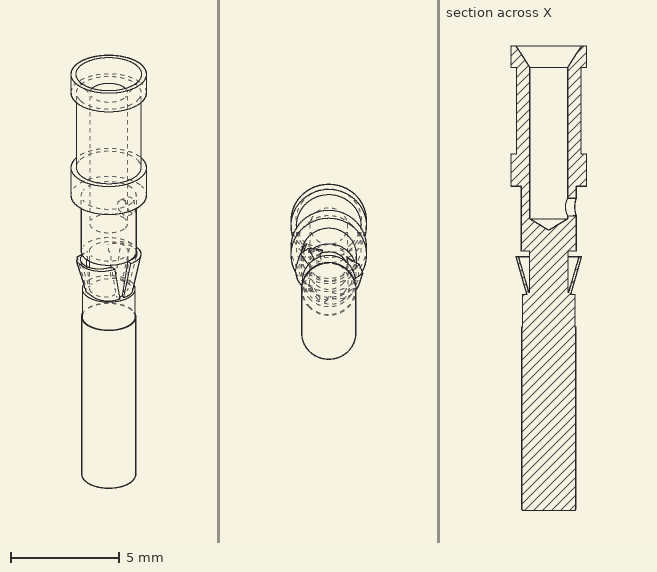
import cadquery as cq
import math

total_length = 21.5

pin_top = 8.5
collar_top = 10.0
finger_top = 11.75
neck_top = 12.0
barrel_flange_bottom = 15.0
barrel_flange_top = 16.5
rim_bottom = 20.5

pin_radius = 1.26
collar_radius = 1.225
neck_radius = 0.9
shank_radius = 1.275
flange_radius = 1.75
barrel_radius = 1.5
tip_fillet = 0.1

funnel_radius = 1.52
funnel_depth = 1.0
bore_radius = 0.87
bore_depth = 8.0
drill_point_angle = 118.0
inspection_radius = 0.4
inspection_depth = 7.45

finger_bore_radius = 0.885
finger_lean = 0.52
root_corners = [(-0.69, -0.6), (-0.64, -0.83), (-0.36, -1.02), (0.29, -1.02)]
root_flank_end = (1.06, -0.1)
tip_corners = [(-0.91, -0.6), (-0.78, -1.23), (-0.42, -1.52), (0.16, -1.52)]
tip_flank_end = (1.14, -0.45)


def turned_body():
    """Stepped round body of the contact."""
    steps = [
        (pin_radius, pin_top),
        (collar_radius, collar_top),
        (neck_radius, neck_top),
        (shank_radius, barrel_flange_bottom),
        (flange_radius, barrel_flange_top),
        (barrel_radius, rim_bottom),
        (flange_radius, total_length),
    ]
    body = None
    bottom = 0.0
    for radius, top in steps:
        step = cq.Workplane("XY").workplane(offset=bottom).circle(radius).extrude(top - bottom)
        body = step if body is None else body.union(step)
        bottom = top
    return body.faces("<Z").edges().fillet(tip_fillet)


def wire_entry():
    """Funnel and blind bore, as one revolved cutter."""
    bore_bottom = total_length - bore_depth
    point_height = bore_radius / math.tan(math.radians(drill_point_angle / 2))
    return (
        cq.Workplane("XZ")
        .moveTo(0, total_length)
        .lineTo(funnel_radius, total_length)
        .lineTo(bore_radius, total_length - funnel_depth)
        .lineTo(bore_radius, bore_bottom)
        .lineTo(0, bore_bottom - point_height)
        .close()
        .revolve(360, (0, 0, 0), (0, 1, 0))
    )


def inspection_hole():
    """Round hole from the bore out through the +Y wall."""
    return (
        cq.Workplane("XZ", origin=(0, 0, total_length - inspection_depth))
        .circle(inspection_radius)
        .extrude(-flange_radius)
    )


def finger_outline(plane, corners, flank_end):
    """Finger section: slot wall, bevel and flat ridge through the corners, then a round flank."""
    ridge_end_x, ridge_y = corners[-1]
    end_x, end_y = flank_end
    flank_middle = (
        ridge_end_x + (end_x - ridge_end_x) * math.sin(math.pi / 4),
        end_y + (ridge_y - end_y) * math.cos(math.pi / 4),
    )
    return plane.polyline(corners).threePointArc(flank_middle, flank_end).close()


def spring_finger():
    """Finger on the -Y side, hollowed by a bore that leans with it."""
    height = finger_top - collar_top
    base = cq.Workplane("XY").workplane(offset=collar_top)
    lower = finger_outline(base, root_corners, root_flank_end)
    blank = finger_outline(lower.workplane(offset=height), tip_corners, tip_flank_end).loft(ruled=True)
    bore = (
        base.circle(finger_bore_radius)
        .workplane(offset=height)
        .center(0, -finger_lean)
        .circle(finger_bore_radius)
        .loft(ruled=True)
    )
    return blank.cut(bore)


finger = spring_finger()
result = (
    turned_body()
    .union(finger)
    .union(finger.mirror("XZ"))
    .cut(wire_entry())
    .cut(inspection_hole())
)